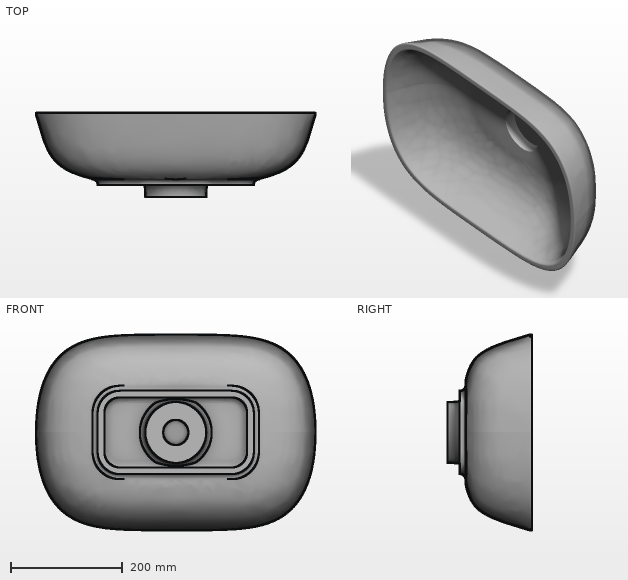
import cadquery as cq
import math


WALL = 12.0
BASIN_LENGTH = 500.5
BASIN_HEIGHT = 350.0
RIM_FILLET = 2.5
END_LEAN = math.radians(10.4)
SIDE_LEAN = math.radians(16)


def sharp_edge_excess(lean):
    """How far the unrounded rim edge of a leaning wall stands out beyond its fillet."""
    return RIM_FILLET * (math.tan(lean) + 1 / math.cos(lean) - 1)


RIM_HALF_LENGTH = BASIN_LENGTH / 2 + sharp_edge_excess(END_LEAN)
RIM_HALF_HEIGHT = BASIN_HEIGHT / 2 + sharp_edge_excess(SIDE_LEAN)
BOWL_DEPTH = 119.0
BOWL_SECTIONS = [
    (0.0, RIM_HALF_LENGTH, RIM_HALF_HEIGHT),
    (15.0, 246.5, 171.5),
    (30.0, 242.0, 167.0),
    (60.0, 231.5, 157.0),
    (80.0, 220.0, 148.0),
    (95.0, 205.0, 138.0),
    (105.0, 188.5, 127.0),
    (112.0, 171.0, 114.0),
    (117.0, 154.0, 99.5),
    (BOWL_DEPTH, 140.0, 80.0),
]
QUARTER_OUTLINE = [(0, 1), (0.52, 1), (0.7, 1), (1, 0.85), (1, 0)]

RING_DEPTH = 129.5
RING_HALF_LENGTH = 139.5
RING_HALF_HEIGHT = 74.5
RING_CORNER = 39.5
RING_WIDTH = 12.0
RING_COVE = 9.0

RECESS_HALF_LENGTH = RING_HALF_LENGTH - RING_WIDTH
RECESS_HALF_HEIGHT = RING_HALF_HEIGHT - RING_WIDTH
RECESS_CORNER = RING_CORNER - RING_WIDTH
RECESS_DRAFT = 25
RECESS_FILLET = 9.0
RECESS_END_DEPTH = 118.0
RECESS_FALL = math.radians(3)
RECESS_CENTRE_DEPTH = RECESS_END_DEPTH + RECESS_HALF_LENGTH * math.tan(RECESS_FALL)

TOTAL_DEPTH = 151.0
BOSS_RADIUS = 54.5
BOSS_TAPER = math.radians(3)
BOSS_COVE = 13.0
COVE_EMBED = 0.5
HOLE_RADIUS = 22.5
HOLE_LENGTH = 12.5
WELL_RADIUS = BOSS_RADIUS - WALL
WELL_DEPTH = TOTAL_DEPTH - HOLE_LENGTH

EDGE_REACH = 0.5

COVER_THICKNESS = 10.0


def outline_wire(depth, half_length, half_height):
    """Closed rounded outline made of four mirrored Bezier quarters."""
    quarters = []
    for side_x, side_z in ((1, 1), (1, -1), (-1, -1), (-1, 1)):
        points = [
            cq.Vector(side_x * half_length * u, -depth, side_z * half_height * v)
            for u, v in QUARTER_OUTLINE
        ]
        quarters.append(cq.Edge.makeBezier(points))
    return cq.Wire.assembleEdges(quarters)


def bowl_form(inset):
    """Solid bowl whose sides and bottom lie inside the outer bowl by the inset."""
    depth_ratio = (BOWL_DEPTH - inset) / BOWL_DEPTH
    wires = [
        outline_wire(depth * depth_ratio, half_length - inset, half_height - inset)
        for depth, half_length, half_height in BOWL_SECTIONS
    ]
    return cq.Workplane(cq.Solid.makeLoft(wires))


def rounded_block(half_length, half_height, corner, top_depth, bottom_depth):
    """Rectangular block with rounded corners between two depths."""
    return (
        cq.Workplane("XZ", origin=(0, -top_depth, 0))
        .rect(2 * half_length, 2 * half_height)
        .extrude(bottom_depth - top_depth)
        .edges("|Y")
        .fillet(corner)
    )


def disc(radius, top_depth, bottom_depth):
    """Cylinder on the drain axis between two depths."""
    return cq.Workplane("XZ", origin=(0, -top_depth, 0)).circle(radius).extrude(bottom_depth - top_depth)


def foot_block():
    """Solid foot with a concave cove around its upper end, rooted in the bowl floor."""
    root_depth = BOWL_DEPTH - WALL / 2
    toe_size = (
        RING_HALF_LENGTH + RING_COVE,
        RING_HALF_HEIGHT + RING_COVE,
        RING_CORNER + RING_COVE,
    )
    slab = rounded_block(
        2 * RING_HALF_LENGTH, 2 * RING_HALF_HEIGHT, 2 * RING_CORNER, root_depth, BOWL_DEPTH
    )
    ring = rounded_block(RING_HALF_LENGTH, RING_HALF_HEIGHT, RING_CORNER, root_depth, RING_DEPTH)
    root_edges = cq.selectors.BoxSelector(
        (-toe_size[0], -BOWL_DEPTH - EDGE_REACH, -toe_size[1]),
        (toe_size[0], -BOWL_DEPTH + EDGE_REACH, toe_size[1]),
    )
    coved = slab.union(ring).edges(root_edges).fillet(RING_COVE)
    return coved.intersect(rounded_block(*toe_size, root_depth, RING_DEPTH))


def recess_cutter():
    """Pocket inside the foot ring with a shallow conical floor and a filleted floor edge."""
    mouth = cq.Sketch().rect(2 * RECESS_HALF_LENGTH, 2 * RECESS_HALF_HEIGHT)
    mouth = mouth.vertices().fillet(RECESS_CORNER)
    block = (
        cq.Workplane("XZ", origin=(0, -RING_DEPTH, 0))
        .placeSketch(mouth)
        .extrude(BOWL_DEPTH - WALL - RING_DEPTH, taper=RECESS_DRAFT)
    )
    reach = 2 * RECESS_HALF_LENGTH
    reach_depth = RECESS_CENTRE_DEPTH - reach * math.tan(RECESS_FALL)
    below_floor = (
        cq.Workplane("XY")
        .moveTo(0, -RECESS_CENTRE_DEPTH)
        .lineTo(reach, -reach_depth)
        .lineTo(reach, -TOTAL_DEPTH)
        .lineTo(0, -TOTAL_DEPTH)
        .close()
        .revolve(360, (0, 0), (0, 1))
    )
    pocket = block.intersect(below_floor)
    return pocket.faces(">Y").edges("not %LINE").fillet(RECESS_FILLET)


def boss_form():
    """Tapered drain boss that spreads into the recess floor through a concave cove."""
    root_depth = BOWL_DEPTH - WALL / 2
    floor_depth = RECESS_CENTRE_DEPTH - (BOSS_RADIUS + BOSS_COVE) * math.tan(RECESS_FALL)
    toe_depth = floor_depth - COVE_EMBED
    cove_end_depth = toe_depth + BOSS_COVE
    neck_radius = BOSS_RADIUS + (TOTAL_DEPTH - cove_end_depth) * math.tan(BOSS_TAPER)
    toe_radius = neck_radius + BOSS_COVE
    middle_offset = BOSS_COVE * math.sin(math.pi / 4)
    middle_radius = toe_radius - middle_offset
    middle_depth = cove_end_depth - middle_offset
    return (
        cq.Workplane("XY")
        .moveTo(0, -root_depth)
        .lineTo(toe_radius, -root_depth)
        .lineTo(toe_radius, -toe_depth)
        .threePointArc((middle_radius, -middle_depth), (neck_radius, -cove_end_depth))
        .lineTo(BOSS_RADIUS, -TOTAL_DEPTH)
        .lineTo(0, -TOTAL_DEPTH)
        .close()
        .revolve(360, (0, 0), (0, 1))
    )


def basin_body():
    """Hollow bowl with its foot ring, recess, drain boss, well and drain hole."""
    rim_edges = cq.selectors.BoxSelector(
        (-2 * RIM_HALF_LENGTH, -EDGE_REACH, -2 * RIM_HALF_HEIGHT),
        (2 * RIM_HALF_LENGTH, EDGE_REACH, 2 * RIM_HALF_HEIGHT),
    )
    shell = bowl_form(0).cut(bowl_form(WALL)).edges(rim_edges).fillet(RIM_FILLET)
    footed = shell.union(foot_block()).cut(recess_cutter()).union(boss_form())
    well = disc(WELL_RADIUS, BOWL_DEPTH - 2 * WALL, WELL_DEPTH)
    hole = disc(HOLE_RADIUS, WELL_DEPTH, TOTAL_DEPTH)
    return footed.cut(well).cut(hole)


def drain_cover():
    """Round cover that fills the bottom of the well and closes the drain hole."""
    return disc(WELL_RADIUS, WELL_DEPTH - COVER_THICKNESS, WELL_DEPTH)


basin = basin_body()
cover = drain_cover()

result = cq.Compound.makeCompound([basin.val(), cover.val()])